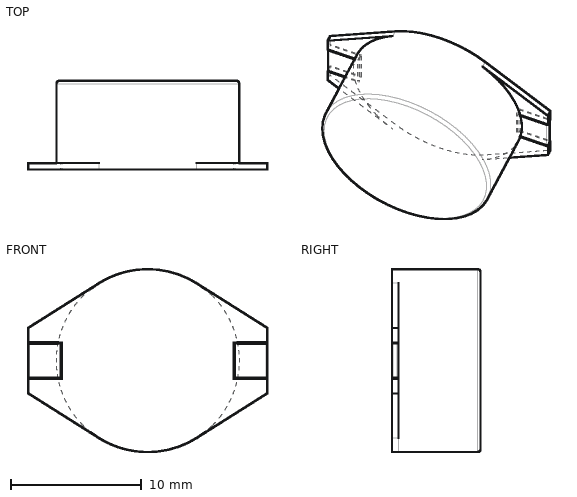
import cadquery as cq
import math

body_radius = 7.0
total_height = 6.8
rim_fillet = 0.25

base_length = 18.3
base_thickness = 0.5
base_end_width = 5.0

terminal_length = 2.5
terminal_width = 2.6
terminal_fillet = 0.1
slot_clearance = 0.1
slot_length = terminal_length + slot_clearance
slot_width = terminal_width + 2 * slot_clearance


def extrude_up(outline, start, height):
    """Extrude an XZ outline toward +Y, beginning at Y = start."""
    return outline.extrude(-height).translate((0, start, 0))


def make_body():
    """Round body standing on the base, with its far rim rounded."""
    circle = cq.Workplane("XZ").circle(body_radius)
    body = extrude_up(circle, base_thickness, total_height - base_thickness)
    return body.faces(">Y").edges().fillet(rim_fillet)


def make_base():
    """Plate whose straight flanks run tangent to the body circle."""
    end_x = base_length / 2
    end_z = base_end_width / 2
    corner_distance = math.hypot(end_x, end_z)
    tangent_angle = math.atan2(end_z, end_x) + math.acos(body_radius / corner_distance)
    tangent_x = body_radius * math.cos(tangent_angle)
    tangent_z = body_radius * math.sin(tangent_angle)
    outline = (
        cq.Workplane("XZ")
        .moveTo(end_x, -end_z)
        .lineTo(end_x, end_z)
        .lineTo(tangent_x, tangent_z)
        .threePointArc((0, body_radius), (-tangent_x, tangent_z))
        .lineTo(-end_x, end_z)
        .lineTo(-end_x, -end_z)
        .lineTo(-tangent_x, -tangent_z)
        .threePointArc((0, -body_radius), (tangent_x, -tangent_z))
        .close()
    )
    return extrude_up(outline, 0, base_thickness)


def make_end_block(side, length, width):
    """Block as thick as the base, flush with the base end on the given side."""
    center_x = side * (base_length - length) / 2
    outline = cq.Workplane("XZ").center(center_x, 0).rect(length, width)
    return extrude_up(outline, 0, base_thickness)


def make_terminal(side):
    """Terminal pad with both long edges of its outer end rounded."""
    outer_face = ">X" if side > 0 else "<X"
    pad = make_end_block(side, terminal_length, terminal_width)
    return pad.faces(outer_face).edges("|Z").fillet(terminal_fillet)


base = make_base()
for side in (-1, 1):
    base = base.cut(make_end_block(side, slot_length, slot_width))

result = base.union(make_body())
for side in (-1, 1):
    result = result.union(make_terminal(side))